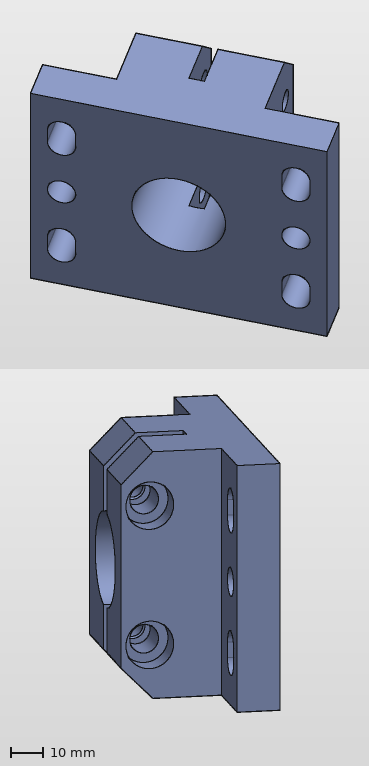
import cadquery as cq

plate_width = 95.0
height = 78.0
plate_thickness = 13.5

total_depth = 45.0
block_width = 47.6
corner_chamfer = 10.0
split_width = 4.9
split_floor_y = 20.0
bore_diameter = 30.0

mount_hole_diameter = 9.0
mount_slot_length = 14.0
mount_offset_x = 37.5
mount_slot_offset_z = 22.5

screw_spacing = 44.0
screw_from_back = 9.0
clearance_diameter = 9.0
counterbore_diameter = 15.0
counterbore_depth = 8.55
thread_diameter = 8.0
tap_diameter = 6.8
thread_chamfer = (thread_diameter - tap_diameter) / 2


def make_body():
    plate = cq.Workplane("XY").box(
        plate_width, plate_thickness, height, centered=(True, False, True)
    )
    block = (
        cq.Workplane("XY")
        .box(block_width, total_depth, height, centered=(True, False, True))
        .faces(">Y")
        .edges("|X")
        .chamfer(corner_chamfer)
    )
    return plate.union(block)


def make_split():
    return (
        cq.Workplane("XY")
        .box(split_width, total_depth - split_floor_y, height, centered=(True, False, True))
        .translate((0, split_floor_y, 0))
    )


def make_front_holes():
    """Shaft bore, round mounting holes and upright mounting slots."""
    front = cq.Workplane("XZ")
    bore = front.circle(bore_diameter / 2).extrude(-total_depth)
    round_holes = (
        front.pushPoints([(-mount_offset_x, 0), (mount_offset_x, 0)])
        .circle(mount_hole_diameter / 2)
        .extrude(-plate_thickness)
    )
    slots = (
        front.rarray(2 * mount_offset_x, 2 * mount_slot_offset_z, 2, 2)
        .slot2D(mount_slot_length, mount_hole_diameter, 90)
        .extrude(-plate_thickness)
    )
    return bore.union(round_holes).union(slots)


def make_screw_hole(z):
    """Counterbored clearance in the -X jaw and a chamfered tapped hole in the +X jaw."""
    outer_x = block_width / 2
    split_x = split_width / 2
    bore_floor_x = -outer_x + counterbore_depth
    profile = [
        (-outer_x, 0),
        (-outer_x, counterbore_diameter / 2),
        (bore_floor_x, counterbore_diameter / 2),
        (bore_floor_x, clearance_diameter / 2),
        (-split_x, clearance_diameter / 2),
        (split_x, thread_diameter / 2),
        (split_x + thread_chamfer, tap_diameter / 2),
        (outer_x, tap_diameter / 2),
        (outer_x, 0),
    ]
    return (
        cq.Workplane("XY")
        .polyline(profile)
        .close()
        .revolve(360, (0, 0, 0), (1, 0, 0))
        .translate((0, total_depth - screw_from_back, z))
    )


result = make_body().cut(make_split()).cut(make_front_holes())
for screw_z in (-screw_spacing / 2, screw_spacing / 2):
    result = result.cut(make_screw_hole(screw_z))